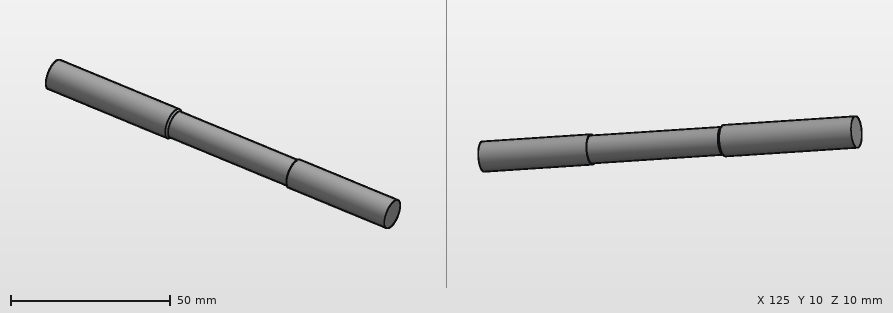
import cadquery as cq

total_length = 125.0

handle_diameter = 10.0
handle_length = 44.1
shank_diameter = 8.9
cone_length = 0.8

tip_diameter = 9.6
tip_length = 36.2

rod_length = total_length - tip_length
rod_start = -total_length / 2
tip_start = rod_start + rod_length


def make_stepped_rod():
    """Revolve the half profile of the handle, cone and shank about the X axis."""
    handle_radius = handle_diameter / 2
    shank_radius = shank_diameter / 2
    handle_end = rod_start + handle_length
    return (
        cq.Workplane("XY")
        .moveTo(rod_start, 0)
        .lineTo(rod_start, handle_radius)
        .lineTo(handle_end, handle_radius)
        .lineTo(handle_end + cone_length, shank_radius)
        .lineTo(tip_start, shank_radius)
        .lineTo(tip_start, 0)
        .close()
        .revolve(360, (0, 0, 0), (1, 0, 0))
    )


def make_tip():
    """Extrude the end cylinder from the end face of the shank."""
    return (
        cq.Workplane("YZ", origin=(tip_start, 0, 0))
        .circle(tip_diameter / 2)
        .extrude(tip_length)
    )


stepped_rod = make_stepped_rod()
tip = make_tip()

result = cq.Compound.makeCompound([stepped_rod.val(), tip.val()])